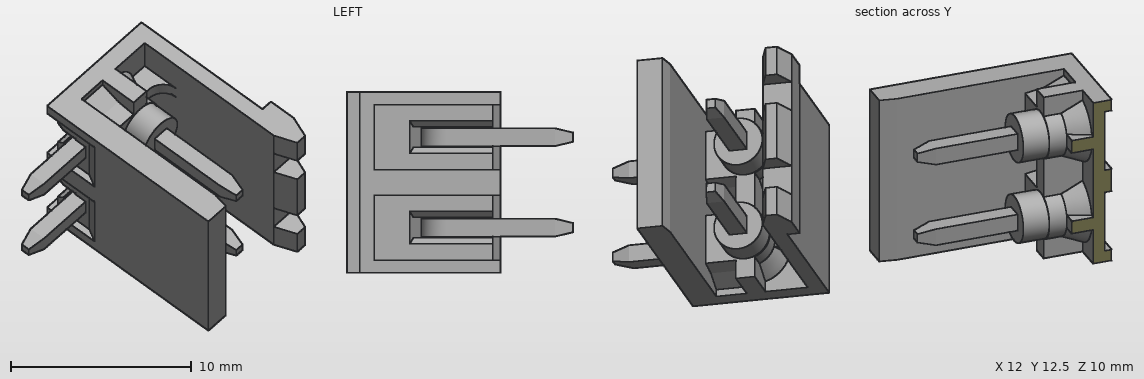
import cadquery as cq
import math


pitch = 5.0
pin_count = 2
row_length = pitch * pin_count
housing_length = 12.0
housing_height = 7.8
rear_wall = 1.1
board_wall = 1.63
latch_wall = 0.95
latch_inner_y = housing_height - latch_wall
pin_centers_z = [pitch * (i + 0.5) for i in range(pin_count)]

lead_in_length = 1.0
lead_in_rise = 0.18
catch_start_x = 9.0
catch_height = 0.7
catch_nose_length = 1.3
catch_top_y = housing_height + catch_height
nose_start_x = housing_length - catch_nose_length
nose_taper = 0.5
nose_inner_y = latch_inner_y + nose_taper
nose_outer_y = catch_top_y - nose_taper
nose_notch_width = 1.7

pin_size = 1.0
pin_tip_size = 0.52
pin_taper = 1.0
mating_axis_y = 3.9
tail_axis_x = 1.98
mating_end_x = 10.8
tail_end_y = -4.0
bend_outer_radius = 1.35
bend_inner_radius = bend_outer_radius - pin_size
bend_x = tail_axis_x - pin_size / 2 + bend_outer_radius
bend_y = mating_axis_y + pin_size / 2 - bend_outer_radius

web_thickness = 1.07
support_end_x = 3.41
support_knee_x = 2.28
support_half_rear = 2.1
support_half_knee = 1.58
boss_radius = 1.38
collar_radius = 1.42
boss_end_x = 4.94
flare_end_x = 2.37
flare_radius = 1.97
rib_thickness = 0.8
rib_fillet = 1.05

recess_width = 3.6
recess_depth_x = 0.4
recess_depth_y = 0.43
recess_top_y = 7.0
recess_floor_end_x = 2.76
recess_mouth_end_x = 3.53
slot_mouth_width = 1.8
slot_width = 1.14
slot_funnel_depth = 0.43
slot_bottom_x = 1.7
slot_mouth_top_y = 5.03
slot_ceiling_y = mating_axis_y + pin_size / 2


def extrude_about(profile, center_z, width):
    """Extrude an XY profile symmetrically about the plane z = center_z."""
    return profile.extrude(width / 2, both=True).translate((0, 0, center_z))


def make_shell():
    """U-shaped housing profile with a latch catch on the upper wall."""
    profile = [
        (0, 0),
        (housing_length, 0),
        (housing_length, board_wall - lead_in_rise),
        (housing_length - lead_in_length, board_wall),
        (rear_wall, board_wall),
        (rear_wall, latch_inner_y),
        (nose_start_x, latch_inner_y),
        (housing_length, nose_inner_y),
        (housing_length, nose_outer_y),
        (nose_start_x, catch_top_y),
        (catch_start_x, catch_top_y),
        (catch_start_x, housing_height),
        (0, housing_height),
    ]
    return cq.Workplane("XY").polyline(profile).close().extrude(row_length)


def make_web():
    """Rib along the whole row, in line with the mating pins."""
    return cq.Workplane("XY").box(
        support_end_x, web_thickness, row_length, centered=(False, True, False)
    ).translate((0, mating_axis_y, 0))


def make_support(center_z):
    """Tapered block that carries one pin between the board wall and the web."""
    half_profile = [
        (0, 0),
        (0, support_half_rear),
        (rear_wall, support_half_rear),
        (support_knee_x, support_half_knee),
        (support_end_x, collar_radius),
        (support_end_x, 0),
    ]
    half = cq.Workplane("XZ").polyline(half_profile).close().extrude(-mating_axis_y)
    block = half.union(half.mirror("XY"))
    return block.translate((0, 0, center_z))


def make_boss(center_z):
    """Round boss around one mating pin, flared where it meets the rear wall."""
    half_profile = [
        (recess_depth_x, 0),
        (recess_depth_x, flare_radius),
        (rear_wall, flare_radius),
        (flare_end_x, collar_radius),
        (support_end_x, collar_radius),
        (support_end_x, boss_radius),
        (boss_end_x, boss_radius),
        (boss_end_x, 0),
    ]
    boss = cq.Workplane("XY").polyline(half_profile).close().revolve(360, (0, 0, 0), (1, 0, 0))
    return boss.translate((0, mating_axis_y, center_z))


def make_latch_rib(center_z):
    """Thin rib from the boss to the latch wall, blended into that wall."""
    profile = (
        cq.Workplane("XY")
        .moveTo(recess_depth_x, mating_axis_y)
        .lineTo(flare_end_x, mating_axis_y)
        .lineTo(flare_end_x, latch_inner_y - rib_fillet)
        .radiusArc((flare_end_x + rib_fillet, latch_inner_y), rib_fillet)
        .lineTo(recess_depth_x, latch_inner_y)
        .close()
    )
    return extrude_about(profile, center_z, rib_thickness)


def make_recess(center_z):
    """Shallow recess that wraps from the rear face onto the board face."""
    rear = cq.Workplane("XY").rect(recess_depth_x, recess_top_y, centered=False)
    board = cq.Workplane("XY").polyline([
        (0, 0),
        (recess_mouth_end_x, 0),
        (recess_floor_end_x, recess_depth_y),
        (0, recess_depth_y),
    ]).close()
    rear_cut = extrude_about(rear, center_z, recess_width)
    return rear_cut.union(extrude_about(board, center_z, recess_width))


def make_slot(center_z):
    """Funnel-mouthed pin slot, with a sloping end and a pocket for the pin's bend."""
    funnel_end_x = recess_depth_x + slot_funnel_depth
    section = cq.Workplane("XZ").polyline([
        (recess_depth_x, slot_mouth_width / 2),
        (funnel_end_x, slot_width / 2),
        (bend_x, slot_width / 2),
        (bend_x, -slot_width / 2),
        (funnel_end_x, -slot_width / 2),
        (recess_depth_x, -slot_mouth_width / 2),
    ]).close().extrude(-slot_mouth_top_y)
    outline = cq.Workplane("XY").polyline([
        (recess_depth_x, 0),
        (slot_bottom_x, 0),
        (slot_bottom_x, bend_y),
        (bend_x, slot_ceiling_y),
        (slot_bottom_x, slot_ceiling_y),
        (recess_depth_x, slot_mouth_top_y),
    ]).close()
    slot = section.intersect(extrude_about(outline, 0, slot_mouth_width))
    return slot.translate((0, 0, center_z))


def make_nose_notch(center_z):
    """Gap through the tapered nose of the latch wall, opposite one pin."""
    return cq.Workplane("XY").box(
        catch_nose_length, catch_top_y - latch_inner_y, nose_notch_width, centered=(False, False, True)
    ).translate((nose_start_x, latch_inner_y, center_z))


def make_pin(center_z):
    """Square pin bent through a right angle, with a tapered tip at each end."""
    half = pin_size / 2
    taper_start_x = mating_end_x - pin_taper
    taper_start_y = tail_end_y + pin_taper
    outer_mid = bend_outer_radius * math.sqrt(0.5)
    inner_mid = bend_inner_radius * math.sqrt(0.5)
    profile = (
        cq.Workplane("XY")
        .moveTo(tail_axis_x - half, taper_start_y)
        .lineTo(tail_axis_x - half, bend_y)
        .threePointArc((bend_x - outer_mid, bend_y + outer_mid), (bend_x, mating_axis_y + half))
        .lineTo(taper_start_x, mating_axis_y + half)
        .lineTo(taper_start_x, mating_axis_y - half)
        .lineTo(bend_x, mating_axis_y - half)
        .threePointArc((bend_x - inner_mid, bend_y + inner_mid), (tail_axis_x + half, bend_y))
        .lineTo(tail_axis_x + half, taper_start_y)
        .close()
    )
    shank = extrude_about(profile, 0, pin_size)
    mating_tip = (
        cq.Workplane("YZ", origin=(taper_start_x, mating_axis_y, 0))
        .rect(pin_size, pin_size)
        .workplane(offset=pin_taper)
        .rect(pin_tip_size, pin_tip_size)
        .loft()
    )
    tail_tip = (
        cq.Workplane("XZ", origin=(tail_axis_x, taper_start_y, 0))
        .rect(pin_size, pin_size)
        .workplane(offset=pin_taper)
        .rect(pin_tip_size, pin_tip_size)
        .loft()
    )
    return shank.union(mating_tip).union(tail_tip).translate((0, 0, center_z))


result = make_shell().union(make_web())
for z in pin_centers_z:
    result = result.union(make_support(z)).union(make_boss(z)).union(make_latch_rib(z))
for z in pin_centers_z:
    result = result.cut(make_recess(z)).cut(make_slot(z)).cut(make_nose_notch(z))
for z in pin_centers_z:
    result = result.union(make_pin(z))